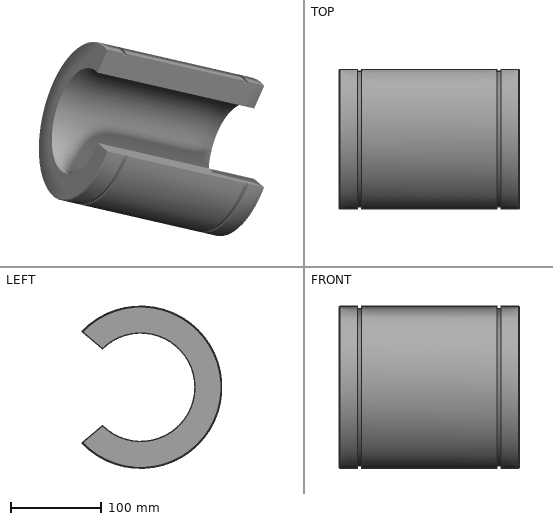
import cadquery as cq
import math

length = 200.0
outer_radius = 90.0
bore_radius = 60.0
end_chamfer = 1.0

groove_diameter = 175.0
cutter_margin = 2.0
groove_width = 4.2
groove_span = 158.5

opening_angle = 80.0
opening_apex_y = -8.5


def cylinder(radius, width, start_x):
    return cq.Workplane("YZ").workplane(offset=start_x).circle(radius).extrude(width)


def ring_groove(start_x):
    blank = cylinder(outer_radius + cutter_margin, groove_width, start_x)
    return blank.cut(cylinder(groove_diameter / 2, groove_width, start_x))


def opening():
    far_y = 2 * outer_radius
    half_height = (far_y - opening_apex_y) * math.tan(math.radians(opening_angle / 2))
    return (
        cq.Workplane("YZ")
        .workplane(offset=-length / 2)
        .moveTo(opening_apex_y, 0)
        .lineTo(far_y, half_height)
        .lineTo(far_y, -half_height)
        .close()
        .extrude(length)
    )


sleeve = cylinder(outer_radius, length, -length / 2).faces("<X or >X").edges().chamfer(end_chamfer)
sleeve = sleeve.cut(cylinder(bore_radius, length, -length / 2))

for groove_start in (-groove_span / 2, groove_span / 2 - groove_width):
    sleeve = sleeve.cut(ring_groove(groove_start))

result = sleeve.cut(opening())